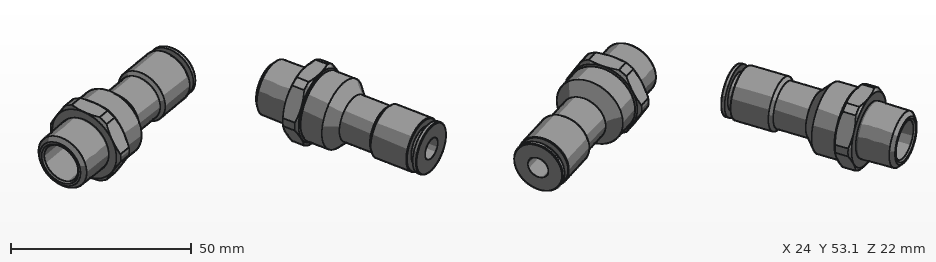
import cadquery as cq
import math

LENGTH = 53.15
THREAD_TIP_Y = -LENGTH / 2

TIP_DIAMETER = 14.0
THREAD_SMALL_DIAMETER = 16.5
THREAD_LARGE_DIAMETER = 16.9
TIP_CHAMFER_LENGTH = 1.15
THREAD_END = 11.0
SHANK_DIAMETER = 16.7

HEX_START = 11.4
HEX_END = 16.55
HEX_ACROSS_FLATS = 22.0
HEX_CORNER_DIAMETER = 23.98
HEX_FACE_DIAMETER = 21.9
HEX_CHAMFER_ANGLE = 30.0

BODY_DIAMETER = 21.0
BODY_CHAMFER = 0.4
BODY_TAPER_START = 23.9
NECK_DIAMETER = 14.0

SOCKET_DIAMETER = 16.0
SOCKET_TAPER_END = 38.4
SOCKET_END = 50.15
SOCKET_EDGE_CHAMFER = 0.2

COLLAR_STEM_DIAMETER = 11.5
COLLAR_FLANGE_DIAMETER = 15.5
COLLAR_FLANGE_THICKNESS = 1.2
COLLAR_EDGE_CHAMFER = 0.2

BORE_MOUTH_DIAMETER = 12.6
BORE_DIAMETER = 11.5
BORE_CHAMFER_LENGTH = 0.5
BORE_DEPTH = 16.0
PASSAGE_DIAMETER = 6.5
BORE_CONE_HALF_ANGLE = 59.0


def revolve_profile(stations):
    """Turn (diameter, distance from the thread tip) stations into a solid about the Y axis."""
    first_y = stations[0][1]
    last_y = stations[-1][1]
    outline = [(0, first_y)]
    outline += [(diameter / 2, y) for diameter, y in stations]
    outline.append((0, last_y))
    return cq.Workplane("XY").polyline(outline).close().revolve(360, (0, 0, 0), (0, 1, 0))


def make_turned_body():
    body_taper_length = (BODY_DIAMETER - NECK_DIAMETER) / 2
    socket_taper_length = (SOCKET_DIAMETER - NECK_DIAMETER) / 2
    flange_start = LENGTH - COLLAR_FLANGE_THICKNESS
    return revolve_profile([
        (TIP_DIAMETER, 0),
        (THREAD_SMALL_DIAMETER, TIP_CHAMFER_LENGTH),
        (THREAD_LARGE_DIAMETER, THREAD_END),
        (SHANK_DIAMETER, HEX_START),
        (BODY_DIAMETER - 2 * BODY_CHAMFER, HEX_END),
        (BODY_DIAMETER, HEX_END + BODY_CHAMFER),
        (BODY_DIAMETER, BODY_TAPER_START),
        (NECK_DIAMETER, BODY_TAPER_START + body_taper_length),
        (NECK_DIAMETER, SOCKET_TAPER_END - socket_taper_length),
        (SOCKET_DIAMETER, SOCKET_TAPER_END),
        (SOCKET_DIAMETER, SOCKET_END - SOCKET_EDGE_CHAMFER),
        (SOCKET_DIAMETER - 2 * SOCKET_EDGE_CHAMFER, SOCKET_END),
        (COLLAR_STEM_DIAMETER, SOCKET_END),
        (COLLAR_STEM_DIAMETER, flange_start),
        (COLLAR_FLANGE_DIAMETER, flange_start),
        (COLLAR_FLANGE_DIAMETER, LENGTH - COLLAR_EDGE_CHAMFER),
        (COLLAR_FLANGE_DIAMETER - 2 * COLLAR_EDGE_CHAMFER, LENGTH),
    ])


def make_hexagon():
    """Hexagon with flats facing +Z and -Z, its corners turned round and chamfered."""
    corner_to_corner = HEX_ACROSS_FLATS / math.cos(math.pi / 6)
    prism = (
        cq.Workplane("XZ", origin=(0, HEX_START, 0))
        .polygon(6, corner_to_corner)
        .extrude(HEX_START - HEX_END)
    )
    chamfer_depth = (HEX_CORNER_DIAMETER - HEX_FACE_DIAMETER) / 2
    chamfer_length = chamfer_depth * math.tan(math.radians(HEX_CHAMFER_ANGLE))
    turned_envelope = revolve_profile([
        (HEX_FACE_DIAMETER, HEX_START),
        (HEX_CORNER_DIAMETER, HEX_START + chamfer_length),
        (HEX_CORNER_DIAMETER, HEX_END - chamfer_length),
        (HEX_FACE_DIAMETER, HEX_END),
    ])
    return prism.intersect(turned_envelope)


def make_bore():
    cone_depth = (BORE_DIAMETER - PASSAGE_DIAMETER) / 2
    cone_length = cone_depth / math.tan(math.radians(BORE_CONE_HALF_ANGLE))
    return revolve_profile([
        (BORE_MOUTH_DIAMETER, 0),
        (BORE_DIAMETER, BORE_CHAMFER_LENGTH),
        (BORE_DIAMETER, BORE_DEPTH),
        (PASSAGE_DIAMETER, BORE_DEPTH + cone_length),
        (PASSAGE_DIAMETER, LENGTH),
    ])


fitting = make_turned_body().union(make_hexagon()).cut(make_bore())
result = fitting.translate((0, THREAD_TIP_Y, 0))